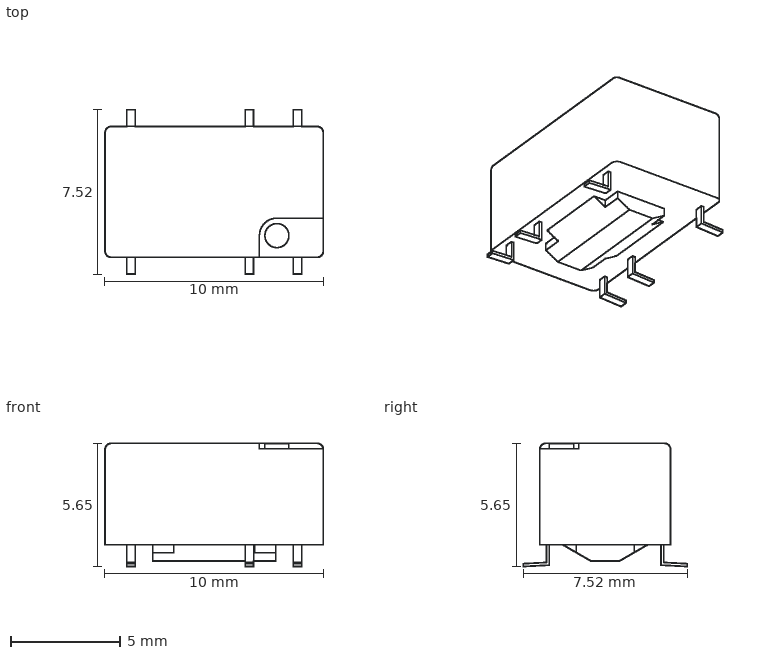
import cadquery as cq
import math

length = 10.0
width = 6.0
height = 4.65
edge_radius = 0.3

step_depth = 0.25
boss_x = 2.87
boss_y = -2.0
boss_diameter = 1.1
boss_height = 0.22
step_margin = 0.8

ridge_length = 5.64
ridge_depth = 0.75
keel_width = 1.3
flank_angle = 30.0
ridge_middle_length = 3.7
ridge_end_width = 2.64

lead_columns = (-3.81, 1.61, 3.81)
lead_width = 0.4
lead_thickness = 0.14
lead_drop = 1.0
lead_span = 7.52
leg_outer_y = 2.69
foot_angle = 3.0


def make_block():
    """Housing block with rounded upright and top edges."""
    return (
        cq.Workplane("XY")
        .box(length, width, height, centered=(True, True, False))
        .edges("|Z or >Z")
        .fillet(edge_radius)
    )


def make_corner_cut():
    """Volume removed at the +X, -Y corner; its inner corner is round about the boss axis."""
    left = boss_x - step_margin
    back = boss_y + step_margin
    diagonal = step_margin * math.sqrt(0.5)
    return (
        cq.Workplane("XY", origin=(0, 0, height - step_depth))
        .moveTo(left, -width / 2)
        .lineTo(left, boss_y)
        .threePointArc((boss_x - diagonal, boss_y + diagonal), (boss_x, back))
        .lineTo(length / 2, back)
        .lineTo(length / 2, -width / 2)
        .close()
        .extrude(step_depth)
    )


def make_boss():
    """Round boss standing on the floor of the stepped corner."""
    return (
        cq.Workplane("XY", origin=(boss_x, boss_y, height - step_depth))
        .circle(boss_diameter / 2)
        .extrude(boss_height)
    )


def make_ridge():
    """Trapezoidal ridge along X whose two ends are cut back to upright sides."""
    keel_half = keel_width / 2
    root_half = keel_half + ridge_depth / math.tan(math.radians(flank_angle))
    prism = (
        cq.Workplane("YZ", origin=(-ridge_length / 2, 0, 0))
        .polyline([
            (-root_half, 0),
            (root_half, 0),
            (keel_half, -ridge_depth),
            (-keel_half, -ridge_depth),
        ])
        .close()
        .extrude(ridge_length)
    )
    narrow_limits = cq.Workplane("XY").rect(ridge_length, ridge_end_width).extrude(-ridge_depth)
    middle_limits = cq.Workplane("XY").rect(ridge_middle_length, 2 * root_half).extrude(-ridge_depth)
    return prism.intersect(narrow_limits.union(middle_limits))


def make_housing():
    """Block, stepped corner, boss and ridge as one solid."""
    return make_block().cut(make_corner_cut()).union(make_boss()).union(make_ridge()).solids()


def make_lead(x, side):
    """One bent lead at the given X, its foot pointing to the given side (+1 or -1) of Y."""
    slope = math.tan(math.radians(foot_angle))
    toe_y = lead_span / 2
    leg_inner_y = leg_outer_y - lead_thickness
    toe_top = -lead_drop + lead_thickness
    heel_z = -lead_drop + slope * (toe_y - leg_inner_y)
    bend_z = toe_top + slope * (toe_y - leg_outer_y)
    profile = [
        (leg_inner_y, 0),
        (leg_outer_y, 0),
        (leg_outer_y, bend_z),
        (toe_y, toe_top),
        (toe_y, -lead_drop),
        (leg_inner_y, heel_z),
    ]
    return (
        cq.Workplane("YZ", origin=(x - lead_width / 2, 0, 0))
        .polyline([(side * y, z) for y, z in profile])
        .close()
        .extrude(lead_width)
    )


housing = make_housing()
leads = [make_lead(x, side) for x in lead_columns for side in (-1, 1)]

result = cq.Compound.makeCompound([housing.val(), *[lead.val() for lead in leads]])